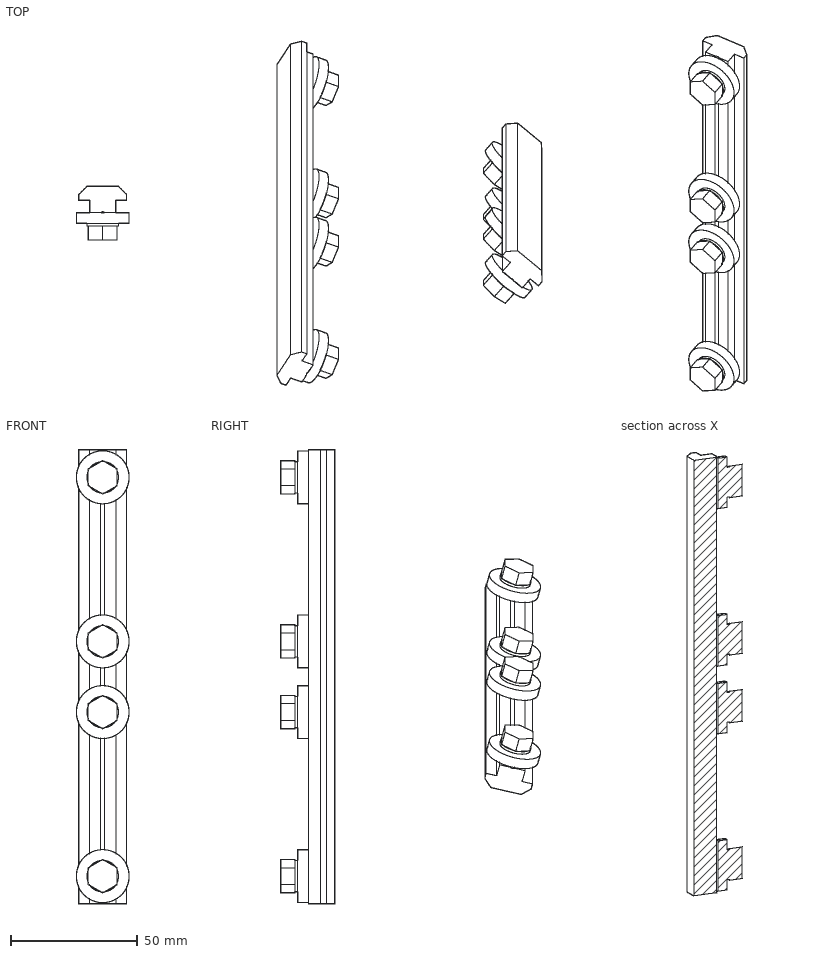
import cadquery as cq

rail_length = 180.0
rail_width = 19.0
rail_depth = 10.5
neck_width = 10.4
flange_depth = 5.6
back_chamfer = 3.3

groove_width = 1.6
groove_depth = 0.3

washer_diameter = 21.0
washer_thickness = 4.2
collar_diameter = 12.5
collar_thickness = 1.1
hex_across_flats = 11.5
overall_depth = 21.4
hex_height = overall_depth - rail_depth - washer_thickness - collar_thickness

bolt_end_distance = 11.0
bolt_spacing = 65.0
outer_bolt_z = rail_length / 2 - bolt_end_distance
inner_bolt_z = outer_bolt_z - bolt_spacing
bolt_positions = (-outer_bolt_z, -inner_bolt_z, inner_bolt_z, outer_bolt_z)


def make_rail():
    """T-shaped bar with chamfered back corners and a grooved front face."""
    half_rail = rail_width / 2
    half_neck = neck_width / 2
    half_groove = groove_width / 2
    return (
        cq.Workplane("XY", origin=(0, 0, -rail_length / 2))
        .moveTo(half_groove, -rail_depth)
        .lineTo(half_neck, -rail_depth)
        .lineTo(half_neck, -flange_depth)
        .lineTo(half_rail, -flange_depth)
        .lineTo(half_rail, -back_chamfer)
        .lineTo(half_rail - back_chamfer, 0)
        .lineTo(-half_rail + back_chamfer, 0)
        .lineTo(-half_rail, -back_chamfer)
        .lineTo(-half_rail, -flange_depth)
        .lineTo(-half_neck, -flange_depth)
        .lineTo(-half_neck, -rail_depth)
        .lineTo(-half_groove, -rail_depth)
        .threePointArc((0, -rail_depth + groove_depth), (half_groove, -rail_depth))
        .close()
        .extrude(rail_length)
    )


def front_plane(y, z):
    """Workplane facing -Y whose origin lies on the bolt axis at height z."""
    return cq.Workplane("XZ", origin=(0, y, z))


def make_bolt(z):
    """Washer, collar and hexagon head stacked on the rail front at height z."""
    collar_back = -rail_depth - washer_thickness
    hex_back = collar_back - collar_thickness
    washer = front_plane(-rail_depth, z).circle(washer_diameter / 2).extrude(washer_thickness)
    collar = front_plane(collar_back, z).circle(collar_diameter / 2).extrude(collar_thickness)
    head = (
        front_plane(hex_back, z)
        .polygon(6, hex_across_flats, circumscribed=True)
        .extrude(hex_height)
    )
    return washer.union(collar).union(head)


result = make_rail()
for bolt_z in bolt_positions:
    result = result.union(make_bolt(bolt_z))